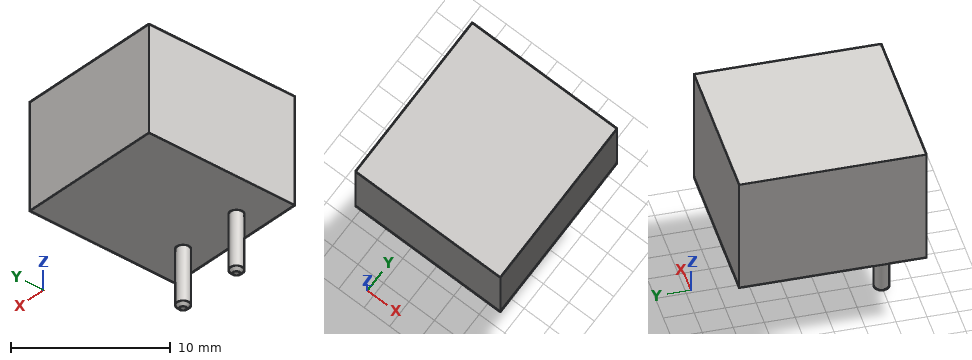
import cadquery as cq

housing_width = 11.37
housing_depth = 12.1
total_height = 12.8
pin_length = 4.5
housing_height = total_height - pin_length

pin_diameter = 1.0
pin_spacing = 5.08
pin_y = -3.94
tip_chamfer = 0.25


def make_housing():
    """Plain block whose underside lies on Z = 0."""
    return cq.Workplane("XY").box(
        housing_width, housing_depth, housing_height, centered=(True, True, False)
    )


def make_pin(x):
    """Round pin hanging from the underside, with a chamfered tip."""
    return (
        cq.Workplane("XY")
        .center(x, pin_y)
        .circle(pin_diameter / 2)
        .extrude(-pin_length)
        .faces("<Z")
        .chamfer(tip_chamfer)
    )


housing = make_housing()
pins = [make_pin(side * pin_spacing / 2) for side in (-1, 1)]

result = cq.Compound.makeCompound([housing.val(), *[pin.val() for pin in pins]])